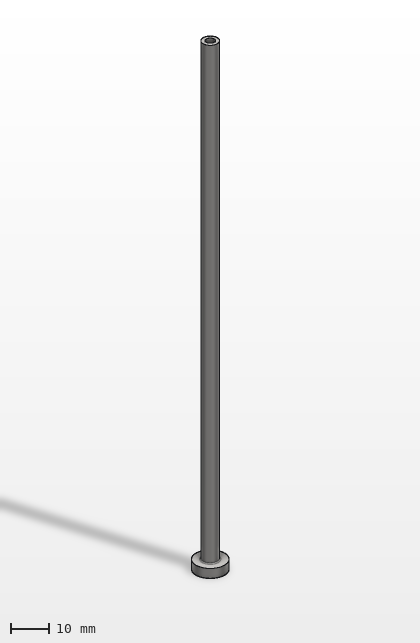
import cadquery as cq

total_length = 160.0
head_diameter = 10.0
head_height = 3.0
shank_diameter = 5.0
bore_diameter = 2.7
neck_fillet = 0.3

head = cq.Workplane("XY").circle(head_diameter / 2).extrude(head_height)
shank_length = total_length - head_height
body = head.faces(">Z").workplane().circle(shank_diameter / 2).extrude(shank_length)

head_top = body.faces("|Z").faces(cq.selectors.CenterNthSelector(cq.Vector(0, 0, 1), 1))
body = head_top.edges(cq.selectors.RadiusNthSelector(0)).fillet(neck_fillet)

bore = cq.Workplane("XY").circle(bore_diameter / 2).extrude(total_length)

result = body.cut(bore)